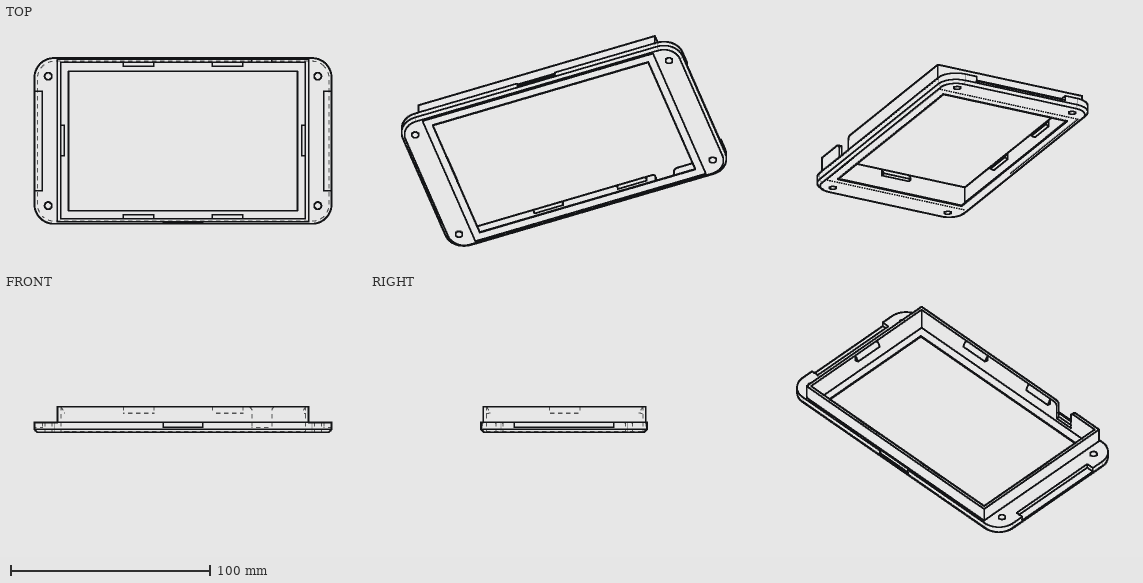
import cadquery as cq
PLATE_LENGTH = 149.4
PLATE_WIDTH = 83.4
PLATE_THICKNESS = 4.98
CORNER_RADIUS = 10.0
BOTTOM_CHAMFER = 1.5

TOTAL_HEIGHT = 12.98
WALL_LENGTH = 126.2
WALL_WIDTH = 81.7
WALL_CENTER_Y = 0.25
WALL_THICKNESS = 1.6
POCKET_LENGTH = WALL_LENGTH - 2 * WALL_THICKNESS
POCKET_WIDTH = WALL_WIDTH - 2 * WALL_THICKNESS

LIP_THICKNESS = 0.5
WINDOW_LENGTH = 115.0
WINDOW_WIDTH = 70.0

HOLE_DIAMETER = 3.5
HOLE_SPACING_X = 135.4
HOLE_SPACING_Y = 65.0

RECESS_FLOOR = 2.5
SIDE_RECESS_LENGTH = 50.1
SIDE_RECESS_DEPTH = 4.0
FRONT_RECESS_LENGTH = 20.0
FRONT_RECESS_DEPTH = 0.6

NOTCH_CENTER_X = 39.5
NOTCH_WIDTH = 10.0
NOTCH_FLOOR = 2.5
NOTCH_TOP_RADIUS = 2.0

CLIP_LENGTH = 15.4
CLIP_REACH = 1.9
CLIP_TOP = TOTAL_HEIGHT
CLIP_HEIGHT = 3.5
CLIP_DROP = 3.0
CLIP_OFFSET_X = 22.3


def block(length, width, bottom, top, x=0, y=0):
    """Box centred on (x, y) that spans from bottom to top in Z."""
    box = cq.Workplane("XY").box(length, width, top - bottom, centered=(True, True, False))
    return box.translate((x, y, bottom))


def base_plate():
    """Rounded plate with a chamfer around its underside."""
    plate = block(PLATE_LENGTH, PLATE_WIDTH, 0, PLATE_THICKNESS)
    plate = plate.edges("|Z").fillet(CORNER_RADIUS)
    return plate.faces("<Z").chamfer(BOTTOM_CHAMFER)


def mounting_holes():
    """Four through holes, one near each corner of the plate."""
    holes = cq.Workplane("XY").rect(HOLE_SPACING_X, HOLE_SPACING_Y, forConstruction=True).vertices()
    return holes.circle(HOLE_DIAMETER / 2).extrude(PLATE_THICKNESS)


def side_recess(side):
    """Step in the upper edge of the plate's left (-1) or right (1) end."""
    x = side * (PLATE_LENGTH - SIDE_RECESS_DEPTH) / 2
    return block(SIDE_RECESS_DEPTH, SIDE_RECESS_LENGTH, RECESS_FLOOR, PLATE_THICKNESS, x=x)


def front_recess():
    """Shallow step in the upper front edge of the plate."""
    y = -(PLATE_WIDTH - FRONT_RECESS_DEPTH) / 2
    return block(FRONT_RECESS_LENGTH, FRONT_RECESS_DEPTH, RECESS_FLOOR, PLATE_THICKNESS, y=y)


def cable_notch():
    """Slot in the rear wall that flares at its top with convex rounds."""
    half = NOTCH_WIDTH / 2
    flare = half + NOTCH_TOP_RADIUS
    round_start = TOTAL_HEIGHT - NOTCH_TOP_RADIUS
    profile = (
        cq.Workplane("XZ", origin=(NOTCH_CENTER_X, WALL_CENTER_Y + WALL_WIDTH / 2, 0))
        .moveTo(-half, NOTCH_FLOOR)
        .lineTo(half, NOTCH_FLOOR)
        .lineTo(half, round_start)
        .radiusArc((flare, TOTAL_HEIGHT), NOTCH_TOP_RADIUS)
        .lineTo(-flare, TOTAL_HEIGHT)
        .radiusArc((-half, round_start), NOTCH_TOP_RADIUS)
        .close()
    )
    return profile.extrude(WALL_THICKNESS)


def snap_clip(wall_distance, offset, angle):
    """Wedge on the wall wall_distance from the pocket centre, turned by angle about Z."""
    wedge = (
        cq.Workplane("XZ", origin=(0, offset + CLIP_LENGTH / 2, 0))
        .moveTo(wall_distance, CLIP_TOP)
        .lineTo(wall_distance - CLIP_REACH, CLIP_TOP - CLIP_DROP)
        .lineTo(wall_distance, CLIP_TOP - CLIP_HEIGHT)
        .close()
        .extrude(CLIP_LENGTH)
    )
    return wedge.rotate((0, 0, 0), (0, 0, 1), angle).translate((0, WALL_CENTER_Y, 0))


body = base_plate().union(
    block(WALL_LENGTH, WALL_WIDTH, PLATE_THICKNESS, TOTAL_HEIGHT, y=WALL_CENTER_Y)
)
body = body.cut(block(POCKET_LENGTH, POCKET_WIDTH, LIP_THICKNESS, TOTAL_HEIGHT, y=WALL_CENTER_Y))
body = body.cut(block(WINDOW_LENGTH, WINDOW_WIDTH, 0, LIP_THICKNESS))

body = body.cut(mounting_holes())
for side in (-1, 1):
    body = body.cut(side_recess(side))
body = body.cut(front_recess())
body = body.cut(cable_notch())

for angle in (0, 180):
    body = body.union(snap_clip(POCKET_LENGTH / 2, 0, angle))
for angle in (90, 270):
    for offset in (-CLIP_OFFSET_X, CLIP_OFFSET_X):
        body = body.union(snap_clip(POCKET_WIDTH / 2, offset, angle))

result = body